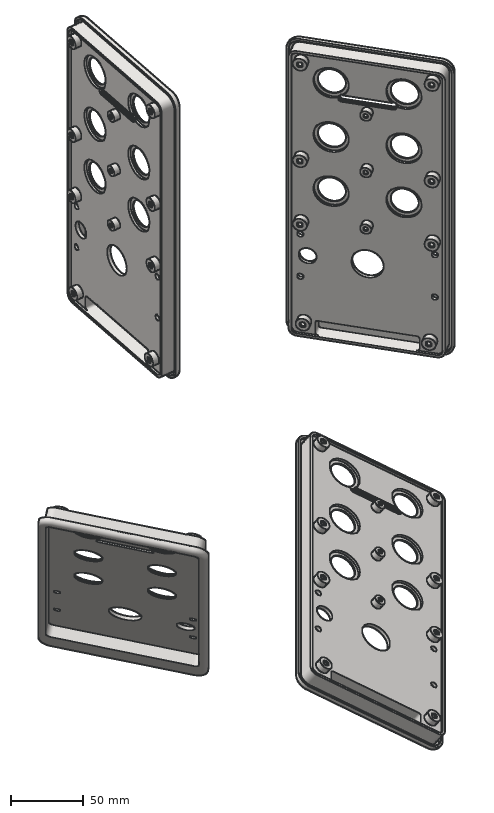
import cadquery as cq

WIDTH = 120.0
HEIGHT = 250.0
CORNER_RADIUS = 10.0
FLANGE_DEPTH = 5.0
BODY_DEPTH = 9.0
BOSS_RISE = 3.0
BODY_INSET = 4.0
RIM_WALL = 2.0
EDGE_FILLET = 3.0

LIP_WIDTH = 1.8
GROOVE_DEPTH = 2.0

TRAY_DEPTH = 2.0
FLOOR_THICKNESS = 3.0
TRAY_INSET = BODY_INSET + RIM_WALL

BOSS_TIP_Y = 0.0
RIM_Y = BOSS_TIP_Y + BOSS_RISE
FLANGE_Y = RIM_Y + BODY_DEPTH
BACK_Y = FLANGE_Y + FLANGE_DEPTH
FLOOR_Y = RIM_Y + TRAY_DEPTH
FLOOR_BACK_Y = FLOOR_Y + FLOOR_THICKNESS

CORNER_BOSS_DIAMETER = 10.0
CORNER_SCREW_DIAMETER = 3.0
CORNER_MOUTH_DIAMETER = 4.5
CENTER_BOSS_DIAMETER = 8.0
CENTER_SCREW_DIAMETER = 2.5
CENTER_MOUTH_DIAMETER = 3.5
SCREW_DEPTH = BOSS_RISE + TRAY_DEPTH
DRILL_TIP_RATIO = 0.6
SIDE_BOSS_X = 47.0
SIDE_BOSS_ROWS = [112.0, 30.0, -24.0]
LOWER_BOSS_X = 45.0
LOWER_BOSS_Z = -108.5
CENTER_BOSS_TOP_Z = 77.0
CENTER_BOSS_PITCH = 48.0

BUTTON_DIAMETER = 20.0
BUTTON_RECESS_DIAMETER = 25.2
BUTTON_RECESS_DEPTH = 2.0
BUTTON_X = 26.0
BUTTON_TOP_Z = 97.0
BUTTON_PITCH = 46.0
ROWS = 3

SLOT_LENGTH = 42.0
SLOT_HEIGHT = 5.5
SLOT_STEP = 0.8
SLOT_STEP_DEPTH = 1.5
SLOT_Z = 85.0

DIAL_DIAMETER = 23.0
DIAL_Z = -52.0
JACK_DIAMETER = 12.8
JACK_X = -42.8
JACK_Z = -53.0
PIN_DIAMETER = 4.5
PIN_X = 48.0
PIN_ROWS = [-35.5, -71.5]

POCKET_WIDTH = 74.5
POCKET_HEIGHT = 12.0
POCKET_DEPTH = 9.0
POCKET_RADIUS = 2.0


def front_plane(y):
    """Sketch plane at depth y with local axes X and Z; positive extrusion goes toward -Y."""
    return cq.Workplane("XZ", origin=(0, y, 0))


def block(inset, y_start, y_end):
    """Rounded plate outline moved inward by inset, between two depths."""
    return (
        front_plane(y_end)
        .rect(WIDTH - 2 * inset, HEIGHT - 2 * inset)
        .extrude(y_end - y_start)
        .edges("|Y")
        .fillet(CORNER_RADIUS - inset)
    )


def cylinders(points, diameter, y_start, y_end):
    return front_plane(y_end).pushPoints(points).circle(diameter / 2).extrude(y_end - y_start)


def mirrored(x, rows):
    return [(side * x, z) for z in rows for side in (-1, 1)]


def stepped_rows(top, pitch):
    return [top - row * pitch for row in range(ROWS)]


def screw_hole_shape(diameter, mouth_diameter):
    """Blind hole with a countersunk mouth and a conical drill tip, on the Y axis at the boss tip."""
    radius = diameter / 2
    mouth_radius = mouth_diameter / 2
    return (
        cq.Workplane("XY")
        .moveTo(0, BOSS_TIP_Y)
        .lineTo(mouth_radius, BOSS_TIP_Y)
        .lineTo(radius, BOSS_TIP_Y + mouth_radius - radius)
        .lineTo(radius, BOSS_TIP_Y + SCREW_DEPTH)
        .lineTo(0, BOSS_TIP_Y + SCREW_DEPTH + radius * DRILL_TIP_RATIO)
        .close()
        .revolve(360, (0, 0, 0), (0, 1, 0))
    )


flange = block(0, FLANGE_Y, BACK_Y).faces(">Y").edges().fillet(EDGE_FILLET)
groove = block(LIP_WIDTH, FLANGE_Y, FLANGE_Y + GROOVE_DEPTH)
body = block(BODY_INSET, RIM_Y, FLANGE_Y + GROOVE_DEPTH)
plate = flange.cut(groove).union(body)
plate = plate.cut(block(TRAY_INSET, RIM_Y, FLOOR_Y))

pocket_bottom = -HEIGHT / 2 + TRAY_INSET
pocket = (
    front_plane(FLOOR_Y + POCKET_DEPTH)
    .center(0, pocket_bottom + POCKET_HEIGHT / 2)
    .rect(POCKET_WIDTH, POCKET_HEIGHT)
    .extrude(POCKET_DEPTH)
    .edges("|Y")
    .fillet(POCKET_RADIUS)
)
plate = plate.cut(pocket)

recess_bottom = pocket_bottom + POCKET_HEIGHT + FLOOR_THICKNESS
recess_top = HEIGHT / 2 - TRAY_INSET
recess = (
    front_plane(BACK_Y)
    .center(0, (recess_bottom + recess_top) / 2)
    .rect(WIDTH - 2 * TRAY_INSET, recess_top - recess_bottom)
    .extrude(BACK_Y - FLOOR_BACK_Y)
    .edges("|Y")
    .fillet(CORNER_RADIUS - TRAY_INSET)
)
plate = plate.cut(recess)

buttons = mirrored(BUTTON_X, stepped_rows(BUTTON_TOP_Z, BUTTON_PITCH))
plate = plate.cut(cylinders(buttons, BUTTON_DIAMETER, FLOOR_Y, BACK_Y))
plate = plate.cut(cylinders(buttons, BUTTON_RECESS_DIAMETER, FLOOR_Y, FLOOR_Y + BUTTON_RECESS_DEPTH))

slot = (
    front_plane(FLOOR_BACK_Y)
    .center(0, SLOT_Z)
    .slot2D(SLOT_LENGTH - 2 * SLOT_STEP, SLOT_HEIGHT - 2 * SLOT_STEP)
    .extrude(FLOOR_THICKNESS)
)
slot_mouth = (
    front_plane(FLOOR_Y + SLOT_STEP_DEPTH)
    .center(0, SLOT_Z)
    .slot2D(SLOT_LENGTH, SLOT_HEIGHT)
    .extrude(SLOT_STEP_DEPTH)
)
plate = plate.cut(slot).cut(slot_mouth)

plate = plate.cut(cylinders([(0, DIAL_Z)], DIAL_DIAMETER, FLOOR_Y, BACK_Y))
plate = plate.cut(cylinders([(JACK_X, JACK_Z)], JACK_DIAMETER, FLOOR_Y, BACK_Y))
plate = plate.cut(cylinders(mirrored(PIN_X, PIN_ROWS), PIN_DIAMETER, FLOOR_Y, BACK_Y))

corner_bosses = mirrored(SIDE_BOSS_X, SIDE_BOSS_ROWS) + mirrored(LOWER_BOSS_X, [LOWER_BOSS_Z])
center_bosses = [(0, z) for z in stepped_rows(CENTER_BOSS_TOP_Z, CENTER_BOSS_PITCH)]
for points, boss_diameter, screw_diameter, mouth_diameter in (
    (corner_bosses, CORNER_BOSS_DIAMETER, CORNER_SCREW_DIAMETER, CORNER_MOUTH_DIAMETER),
    (center_bosses, CENTER_BOSS_DIAMETER, CENTER_SCREW_DIAMETER, CENTER_MOUTH_DIAMETER),
):
    plate = plate.union(cylinders(points, boss_diameter, BOSS_TIP_Y, FLOOR_Y))
    screw_hole = screw_hole_shape(screw_diameter, mouth_diameter)
    for x, z in points:
        plate = plate.cut(screw_hole.translate((x, 0, z)))

result = plate